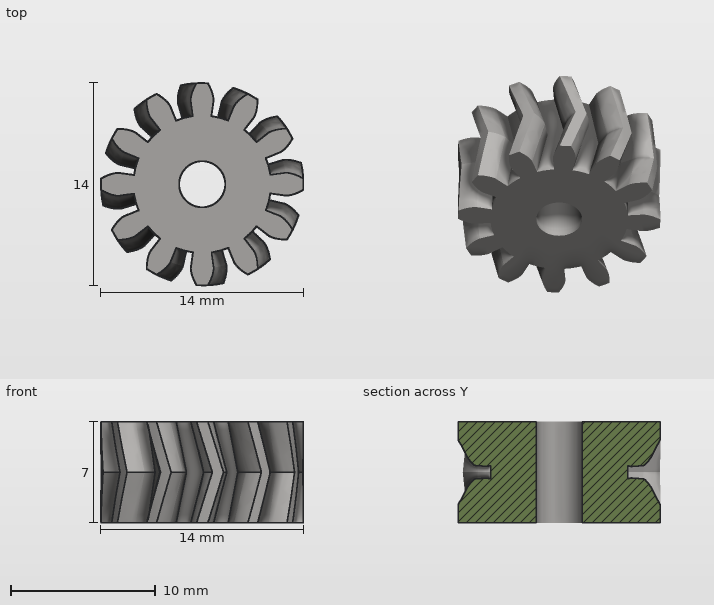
import cadquery as cq
import math

MODULE = 1.0
TOOTH_COUNT = 12
PRESSURE_ANGLE = 14.5
HELIX_ANGLE = 15.0
FACE_WIDTH = 7.0
BORE_DIAMETER = 3.17
ADDENDUM_FACTOR = 1.0
DEDENDUM_FACTOR = 1.25
FLANK_POINTS = 7

pitch_radius = MODULE * TOOTH_COUNT / 2
tip_radius = pitch_radius + ADDENDUM_FACTOR * MODULE
root_radius = pitch_radius - DEDENDUM_FACTOR * MODULE
base_radius = pitch_radius * math.cos(math.radians(PRESSURE_ANGLE))

half_width = FACE_WIDTH / 2
half_twist = math.degrees(half_width * math.tan(math.radians(HELIX_ANGLE)) / pitch_radius)


def polar(radius, angle):
    """Point at a radius and an angle in radians."""
    return (radius * math.cos(angle), radius * math.sin(angle))


def involute_angle(radius):
    """Angle an involute has swept around the centre when it reaches a radius."""
    pressure = math.acos(min(1.0, base_radius / radius))
    return math.tan(pressure) - pressure


tooth_pitch = 2 * math.pi / TOOTH_COUNT
base_half_angle = tooth_pitch / 4 + involute_angle(pitch_radius)
tip_half_angle = base_half_angle - involute_angle(tip_radius)


def flank(centre_angle, side):
    """Involute points from base circle to tip; side is -1 or +1 about the tooth centre."""
    tip_roll = math.sqrt((tip_radius / base_radius) ** 2 - 1)
    points = []
    for index in range(FLANK_POINTS):
        roll = tip_roll * index / (FLANK_POINTS - 1)
        radius = base_radius * math.hypot(1, roll)
        half_angle = base_half_angle - involute_angle(radius)
        points.append(polar(radius, centre_angle + side * half_angle))
    return points


def add_tooth(outline, centre_angle):
    """Add one tooth and the root arc that follows it, going counterclockwise."""
    rising = flank(centre_angle, -1)
    falling = flank(centre_angle, 1)[::-1]
    next_root_angle = centre_angle + tooth_pitch - base_half_angle
    return (
        outline.lineTo(*rising[0])
        .spline(rising[1:], includeCurrent=True)
        .threePointArc(polar(tip_radius, centre_angle), falling[0])
        .spline(falling[1:], includeCurrent=True)
        .lineTo(*polar(root_radius, centre_angle + base_half_angle))
        .threePointArc(
            polar(root_radius, centre_angle + tooth_pitch / 2),
            polar(root_radius, next_root_angle),
        )
    )


def gear_outline():
    """Closed tooth outline in the XY plane, with one tooth centred on +X."""
    outline = cq.Workplane("XY").moveTo(*polar(root_radius, -base_half_angle))
    for index in range(TOOTH_COUNT):
        outline = add_tooth(outline, index * tooth_pitch)
    return outline.close()


def herringbone_body():
    """Two mirrored helical halves whose teeth meet at mid-width."""
    lower = gear_outline().twistExtrude(half_width, half_twist)
    upper = lower.mirror("XY", (0, 0, half_width))
    return lower.union(upper)


def bore():
    """Round hole through the full width."""
    return cq.Workplane("XY").circle(BORE_DIAMETER / 2).extrude(FACE_WIDTH)


result = herringbone_body().cut(bore())